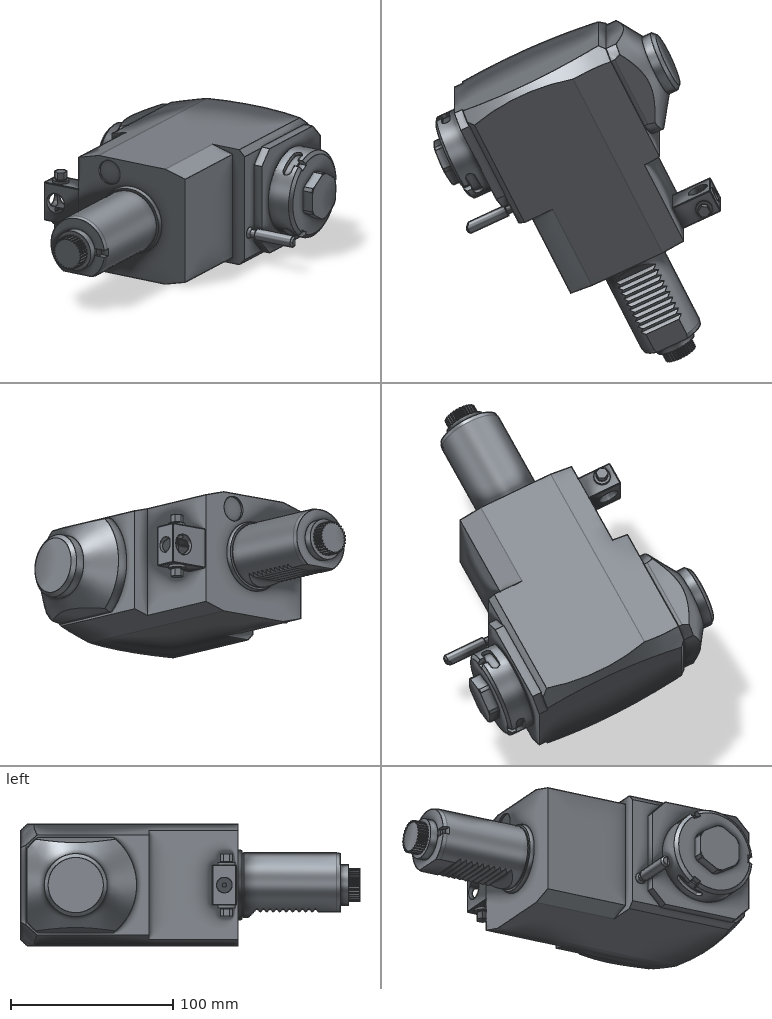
import cadquery as cq
import math

SPINDLE_Y = 100.0
HALF_HEIGHT = 37.5
BEVEL_SLOPE = math.tan(math.radians(15))
BEVEL_START_X = 24.2
OVERLAP = 1.0

LOWER_HALF_WIDTH = 38.7
HEAD_FRONT_Y = 55.0
HEAD_BACK_Y = 134.0
HEAD_LEFT_X = -49.0
HEAD_RIGHT_X = 47.4
HEAD_CHAMFER = 3.9
BACK_LEFT_CHAMFER = 3.5
BACK_ARC_X = 9.0
BACK_ARC_RADIUS = 130.0
BACK_CONE_DEPTH = 22.5

DOME_RADIUS = 37.5
DOME_CONE_X = -55.7
DOME_FLAT_X = -51.5
DOME_FLAT_HALF_HEIGHT = 29.4
DOME_BACK_Y = 130.1
CAP_RADIUS = 19.4
CAP_CHAMFER = 2.4
CAP_BASE_X = -68.3
CAP_END_X = -76.6

PLATE_HALF_WIDTH = 34.0
PLATE_CHAMFER = 9.0
PLATE_END_X = 53.1
NECK_RADIUS = 26.5
NUT_START_X = 53.7
NUT_END_X = 70.1
NUT_RADIUS = 27.5
NUT_CHAMFER_LENGTH = 1.7
NUT_CHAMFER_DEPTH = 2.3
NUT_SLOT_ANGLES = (-30, 90, 210)
NUT_SLOT_X = 62.4
NUT_SLOT_WIDTH = 5.8
NUT_SLOT_LENGTH = 19.2
NUT_SLOT_FLOOR_RADIUS = 25.0
NUT_GROOVE_WIDTH = 5.0
NUT_GROOVE_FLOOR = 23.7
HEX_ACROSS_FLATS = 27.0
HEX_CORNER_RADIUS = 14.9
HEX_END_X = 77.0
HEX_END_CHAMFER = 0.5

NOZZLE_Y = 60.7
NOZZLE_Z = -17.6
NOZZLE_RADIUS = 3.5
NOZZLE_NECK_RADIUS = 2.4
NOZZLE_COLLAR_LENGTH = 1.8
NOZZLE_SHOULDER_LENGTH = 0.5
NOZZLE_START_X = 53.1
NOZZLE_END_X = 80.23
NOZZLE_TIP = 1.2
NOZZLE_OUTLET_CUT = 3.0

FLANGE_RADIUS = 21.7
FLANGE_LENGTH = 2.5
FLANGE_CROWN_RADIUS = 21.5
FLANGE_FRONT_RADIUS = 20.9
SHANK_RADIUS = 20.0
SHANK_END_Y = -63.0
SHANK_LEAD_IN = 1.1
SHANK_END_LENGTH = 2.6
SHANK_END_TAPER = 0.6
COLLAR_RADIUS = 12.6
COLLAR_END_Y = -68.0
RACK_FLAT_Z = -16.5
RACK_PITCH = 4.0
RACK_TOOTH_DEPTH = RACK_PITCH / 2
RACK_GROOVES = 10
RACK_FIRST_Y = -11.6
KEYWAY_WIDTH = 4.6
KEYWAY_DEPTH = 4.0
KEYWAY_STEP_X = 14.9
KEYWAY_INNER_DEPTH = 2.0
SPLINE_RADIUS = 10.1
SPLINE_DEPTH = 0.9
SPLINE_TEETH = 28
SPLINE_LAND = 0.25
SPLINE_END_Y = -75.0

RECESS_X = -16.2
RECESS_Z = 27.9
RECESS_RADIUS = 7.7
RECESS_DEPTH = 1.5

BLOCK_LEFT_X = -64.6
BLOCK_FRONT_Y = 1.0
BLOCK_BACK_Y = 16.0
BLOCK_HALF_HEIGHT = 12.4
BLOCK_EDGE = 0.5
BLOCK_HOLE_X = -56.1
BLOCK_BORE_RADIUS = 6.4
BLOCK_PORT_RADIUS = 4.8
BLOCK_PORT_DEPTH = 22.9
BLOCK_MID_Y = (BLOCK_FRONT_Y + BLOCK_BACK_Y) / 2
PILOT_RADIUS = 1.3
PILOT_DEPTH = 1.0
CROSS_HOLE_RADIUS = 3.7
CROSS_HOLE_HALF_LENGTH = 7.5
PLUG_Y = 7.2
PLUG_FLANGE_RADIUS = 5.1
PLUG_FLANGE_HEIGHT = 1.6
PLUG_NECK_RADIUS = 3.4
PLUG_NECK_HEIGHT = 0.6
PLUG_HEX_FLATS = 6.6
PLUG_TOP_Z = 19.2


def axis_plane(axis, origin=(0, 0, 0)):
    """Sketch plane whose local x runs along the named global axis."""
    directions = {"X": (1, 0, 0), "Y": (0, 1, 0), "Z": (0, 0, 1)}
    normal = (0, 0, 1) if axis == "X" else (1, 0, 0)
    return cq.Plane(origin=origin, xDir=directions[axis], normal=normal)


def turned(axis, profile, origin=(0, 0, 0)):
    """Solid of revolution from (position along axis, radius) points."""
    start, end = profile[0][0], profile[-1][0]
    outline = [(start, 0), *profile, (end, 0)]
    sketch = cq.Workplane(axis_plane(axis, origin)).polyline(outline).close()
    return sketch.revolve(360, (0, 0, 0), (1, 0, 0))


def extruded_along_y(outline, y_start, y_end):
    """Prism with an (x, z) outline between two Y positions."""
    plane = cq.Workplane("XZ", origin=(0, y_start, 0))
    return plane.polyline(outline).close().extrude(y_start - y_end)


def box_between(x_range, y_range, z_range):
    size = [high - low for low, high in (x_range, y_range, z_range)]
    corner = (x_range[0], y_range[0], z_range[0])
    return cq.Workplane("XY").box(*size, centered=False).translate(corner)


def mirrored_outline(upper):
    """Close an upper (x, z) half outline with its reflection below z = 0."""
    return upper + [(x, -z) for x, z in reversed(upper)]


def hexagon_diameter(across_flats):
    """Circumscribed diameter of a hexagon of the given width across flats."""
    return across_flats / math.cos(math.radians(30))


def bevel_height(x):
    """Half height of the housing on its 15 degree side bevels."""
    return HALF_HEIGHT - BEVEL_SLOPE * (abs(x) - BEVEL_START_X)


def make_lower_housing():
    upper = [
        (-LOWER_HALF_WIDTH, bevel_height(LOWER_HALF_WIDTH)),
        (-BEVEL_START_X, HALF_HEIGHT),
        (BEVEL_START_X, HALF_HEIGHT),
        (LOWER_HALF_WIDTH, bevel_height(LOWER_HALF_WIDTH)),
    ]
    return extruded_along_y(mirrored_outline(upper), 0, HEAD_FRONT_Y + OVERLAP)


def make_head():
    upper = [
        (HEAD_LEFT_X, bevel_height(HEAD_LEFT_X)),
        (-BEVEL_START_X, HALF_HEIGHT),
        (HEAD_RIGHT_X - HEAD_CHAMFER, HALF_HEIGHT),
        (HEAD_RIGHT_X, HALF_HEIGHT - HEAD_CHAMFER),
    ]
    head = extruded_along_y(mirrored_outline(upper), HEAD_FRONT_Y, HEAD_BACK_Y)
    back_left_edge = cq.selectors.NearestToPointSelector((HEAD_LEFT_X, HEAD_BACK_Y, 0))
    head = head.edges(back_left_edge).chamfer(BACK_LEFT_CHAMFER)
    wide_radius = BACK_ARC_RADIUS + BACK_CONE_DEPTH
    swing_profile = [
        (-HALF_HEIGHT, BACK_ARC_RADIUS),
        (-HALF_HEIGHT + BACK_CONE_DEPTH, wide_radius),
        (HALF_HEIGHT - BACK_CONE_DEPTH, wide_radius),
        (HALF_HEIGHT, BACK_ARC_RADIUS),
    ]
    return head.intersect(turned("Z", swing_profile, (BACK_ARC_X, 0, 0)))


def make_dome():
    profile = [
        (CAP_END_X, CAP_RADIUS - CAP_CHAMFER),
        (CAP_END_X + CAP_CHAMFER, CAP_RADIUS),
        (CAP_BASE_X, CAP_RADIUS),
        (DOME_CONE_X, DOME_RADIUS),
        (HEAD_LEFT_X + OVERLAP, DOME_RADIUS),
    ]
    dome = turned("X", profile, (0, SPINDLE_Y, 0))
    end_height = DOME_FLAT_HALF_HEIGHT - BEVEL_SLOPE * (DOME_FLAT_X - CAP_END_X)
    upper = [
        (CAP_END_X, end_height),
        (DOME_FLAT_X, DOME_FLAT_HALF_HEIGHT),
        (HEAD_LEFT_X + OVERLAP, DOME_FLAT_HALF_HEIGHT),
    ]
    envelope = extruded_along_y(mirrored_outline(upper), SPINDLE_Y - DOME_RADIUS - OVERLAP, DOME_BACK_Y)
    return dome.intersect(envelope)


def make_spindle_plate():
    plane = cq.Workplane("YZ", origin=(HEAD_RIGHT_X - OVERLAP, SPINDLE_Y, 0))
    width = 2 * PLATE_HALF_WIDTH
    plate = plane.rect(width, width).extrude(PLATE_END_X - HEAD_RIGHT_X + OVERLAP)
    return plate.edges("|X").chamfer(PLATE_CHAMFER)


def cut_nut_slots(nut):
    """Three circumferential spanner slots, each with a groove to the end face."""
    slot = cq.Workplane("XY", origin=(NUT_SLOT_X, SPINDLE_Y, 0))
    slot = slot.slot2D(NUT_SLOT_LENGTH, NUT_SLOT_WIDTH, 90).extrude(NUT_RADIUS + OVERLAP)
    half_groove = NUT_GROOVE_WIDTH / 2
    groove = box_between(
        (NUT_SLOT_X + NUT_SLOT_WIDTH / 2, NUT_END_X + OVERLAP),
        (SPINDLE_Y - half_groove, SPINDLE_Y + half_groove),
        (NUT_GROOVE_FLOOR, NUT_RADIUS + OVERLAP),
    )
    core_ends = (NUT_START_X, NUT_END_X)
    core = turned("X", [(x, NUT_SLOT_FLOOR_RADIUS) for x in core_ends], (0, SPINDLE_Y, 0))
    cutter = slot.cut(core).union(groove)
    for angle in NUT_SLOT_ANGLES:
        nut = nut.cut(cutter.rotate((0, SPINDLE_Y, 0), (1, SPINDLE_Y, 0), -angle))
    return nut


def make_nut():
    profile = [
        (PLATE_END_X - OVERLAP, NECK_RADIUS),
        (NUT_START_X, NECK_RADIUS),
        (NUT_START_X, NUT_RADIUS),
        (NUT_END_X - NUT_CHAMFER_LENGTH, NUT_RADIUS),
        (NUT_END_X, NUT_RADIUS - NUT_CHAMFER_DEPTH),
    ]
    return cut_nut_slots(turned("X", profile, (0, SPINDLE_Y, 0)))


def make_spindle_hex():
    start_x = NUT_END_X - OVERLAP
    length = HEX_END_X - start_x
    plane = cq.Workplane("YZ", origin=(start_x, SPINDLE_Y, 0))
    outline = plane.transformed(rotate=(0, 0, 90)).polygon(6, hexagon_diameter(HEX_ACROSS_FLATS))
    profile = [
        (start_x, HEX_CORNER_RADIUS),
        (HEX_END_X - HEX_END_CHAMFER, HEX_CORNER_RADIUS),
        (HEX_END_X, HEX_CORNER_RADIUS - HEX_END_CHAMFER),
    ]
    return outline.extrude(length).intersect(turned("X", profile, (0, SPINDLE_Y, 0)))


def make_nozzle():
    collar_end_x = HEAD_RIGHT_X + NOZZLE_COLLAR_LENGTH
    neck_end_x = NOZZLE_START_X - NOZZLE_SHOULDER_LENGTH
    profile = [
        (HEAD_RIGHT_X - OVERLAP, NOZZLE_RADIUS),
        (HEAD_RIGHT_X, NOZZLE_RADIUS),
        (collar_end_x, NOZZLE_NECK_RADIUS),
        (neck_end_x, NOZZLE_NECK_RADIUS),
        (NOZZLE_START_X, NOZZLE_RADIUS),
        (NOZZLE_END_X - NOZZLE_TIP, NOZZLE_RADIUS),
        (NOZZLE_END_X, NOZZLE_RADIUS - NOZZLE_TIP),
    ]
    nozzle = turned("X", profile, (0, NOZZLE_Y, NOZZLE_Z))
    side_y = NOZZLE_Y + NOZZLE_RADIUS
    corner = [
        (NOZZLE_END_X - NOZZLE_OUTLET_CUT, side_y),
        (NOZZLE_END_X, side_y - NOZZLE_OUTLET_CUT),
        (NOZZLE_END_X, side_y),
    ]
    outlet = cq.Workplane("XY", origin=(0, 0, NOZZLE_Z)).polyline(corner).close()
    return nozzle.cut(outlet.extrude(NOZZLE_RADIUS, both=True))


def make_rack_cutter():
    """Flat on the shank underside with 90 degree cross grooves."""
    below_z = -SHANK_RADIUS - OVERLAP
    groove_z = RACK_FLAT_Z + RACK_TOOTH_DEPTH
    outline = [(RACK_FIRST_Y + groove_z - below_z, below_z)]
    for index in range(RACK_GROOVES):
        groove_y = RACK_FIRST_Y - index * RACK_PITCH
        outline.append((groove_y, groove_z))
        outline.append((groove_y - RACK_PITCH / 2, RACK_FLAT_Z))
    outline.append((SHANK_END_Y, RACK_FLAT_Z))
    outline.append((SHANK_END_Y, below_z))
    sketch = cq.Workplane("YZ").polyline(outline).close()
    return sketch.extrude(SHANK_RADIUS, both=True)


def make_keyway_cutter():
    """Radial driver slot in the shank end face on the +X side."""
    half = KEYWAY_WIDTH / 2
    inner = box_between(
        (COLLAR_RADIUS, KEYWAY_STEP_X),
        (SHANK_END_Y, SHANK_END_Y + KEYWAY_INNER_DEPTH),
        (-half, half),
    )
    outer = box_between(
        (KEYWAY_STEP_X, SHANK_RADIUS + OVERLAP),
        (SHANK_END_Y, SHANK_END_Y + KEYWAY_DEPTH),
        (-half, half),
    )
    return inner.union(outer)


def make_shank():
    profile = [
        (OVERLAP, SHANK_RADIUS - SHANK_END_TAPER),
        (-FLANGE_LENGTH, SHANK_RADIUS - SHANK_END_TAPER),
        (-FLANGE_LENGTH - SHANK_LEAD_IN, SHANK_RADIUS),
        (SHANK_END_Y + SHANK_END_LENGTH, SHANK_RADIUS),
        (SHANK_END_Y, SHANK_RADIUS - SHANK_END_TAPER),
    ]
    shank = turned("Y", profile).cut(make_rack_cutter()).cut(make_keyway_cutter())
    collar = turned("Y", [(SHANK_END_Y + OVERLAP, COLLAR_RADIUS), (COLLAR_END_Y, COLLAR_RADIUS)])
    return shank.union(collar)


def make_flange():
    """Sealing flange at the root of the shank with a rounded rim."""
    sketch = cq.Workplane(axis_plane("Y")).moveTo(OVERLAP, 0).lineTo(OVERLAP, FLANGE_RADIUS)
    sketch = sketch.lineTo(0, FLANGE_RADIUS).threePointArc(
        (-FLANGE_LENGTH / 2, FLANGE_CROWN_RADIUS),
        (-FLANGE_LENGTH, FLANGE_FRONT_RADIUS),
    )
    return sketch.lineTo(-FLANGE_LENGTH, 0).close().revolve(360, (0, 0, 0), (1, 0, 0))


def make_spline():
    """Toothed drive stub with trapezoidal teeth."""
    root_radius = SPLINE_RADIUS - SPLINE_DEPTH
    half_land = SPLINE_LAND / 2
    tooth = [
        (-half_land, SPLINE_RADIUS),
        (half_land, SPLINE_RADIUS),
        (0.5 - half_land, root_radius),
        (0.5 + half_land, root_radius),
    ]
    outline = []
    for index in range(SPLINE_TEETH):
        for offset, radius in tooth:
            angle = 2 * math.pi * (index + offset) / SPLINE_TEETH
            outline.append((radius * math.cos(angle), radius * math.sin(angle)))
    return extruded_along_y(outline, COLLAR_END_Y + OVERLAP, SPLINE_END_Y)


def make_front_recess():
    plane = cq.Workplane("XZ", origin=(RECESS_X, 0, RECESS_Z))
    return plane.circle(RECESS_RADIUS).extrude(-RECESS_DEPTH)


def make_plug():
    """Upper screw plug: round flange, short neck and hexagon head."""
    flange_z = BLOCK_HALF_HEIGHT + PLUG_FLANGE_HEIGHT
    hex_z = flange_z + PLUG_NECK_HEIGHT
    profile = [
        (BLOCK_HALF_HEIGHT - OVERLAP, PLUG_FLANGE_RADIUS),
        (flange_z, PLUG_FLANGE_RADIUS),
        (flange_z, PLUG_NECK_RADIUS),
        (hex_z, PLUG_NECK_RADIUS),
    ]
    base = turned("Z", profile, (BLOCK_HOLE_X, PLUG_Y, 0))
    plane = cq.Workplane("XY", origin=(BLOCK_HOLE_X, PLUG_Y, hex_z))
    head = plane.transformed(rotate=(0, 0, 90)).polygon(6, hexagon_diameter(PLUG_HEX_FLATS))
    return base.union(head.extrude(PLUG_TOP_Z - hex_z))


def make_block():
    block = box_between(
        (BLOCK_LEFT_X, -LOWER_HALF_WIDTH + OVERLAP),
        (BLOCK_FRONT_Y, BLOCK_BACK_Y),
        (-BLOCK_HALF_HEIGHT, BLOCK_HALF_HEIGHT),
    )
    block = block.faces("<X or <Y or >Y").edges("not >X").chamfer(BLOCK_EDGE)
    plug = make_plug()
    return block.union(plug).union(plug.mirror("XY"))


def cut_block_holes(body):
    """Through bore along Y, crossed by a stepped port along X and a hole along Z."""
    bore = cq.Workplane("XZ", origin=(BLOCK_HOLE_X, BLOCK_FRONT_Y, 0))
    bore = bore.circle(BLOCK_BORE_RADIUS).extrude(BLOCK_FRONT_Y - BLOCK_BACK_Y)
    port_end_x = BLOCK_LEFT_X + BLOCK_PORT_DEPTH
    port_profile = [
        (BLOCK_LEFT_X, BLOCK_PORT_RADIUS),
        (port_end_x, BLOCK_PORT_RADIUS),
        (port_end_x, PILOT_RADIUS),
        (port_end_x + PILOT_DEPTH, PILOT_RADIUS),
    ]
    port = turned("X", port_profile, (0, BLOCK_MID_Y, 0))
    cross_hole = cq.Workplane("XY", origin=(BLOCK_HOLE_X, PLUG_Y, 0))
    cross_hole = cross_hole.circle(CROSS_HOLE_RADIUS).extrude(CROSS_HOLE_HALF_LENGTH, both=True)
    return body.cut(bore).cut(port).cut(cross_hole)


def make_part():
    part = make_lower_housing()
    attachments = (
        make_head(),
        make_dome(),
        make_spindle_plate(),
        make_nut(),
        make_spindle_hex(),
        make_nozzle(),
        make_flange(),
        make_shank(),
        make_spline(),
        make_block(),
    )
    for attachment in attachments:
        part = part.union(attachment)
    return cut_block_holes(part.cut(make_front_recess()))


result = make_part()